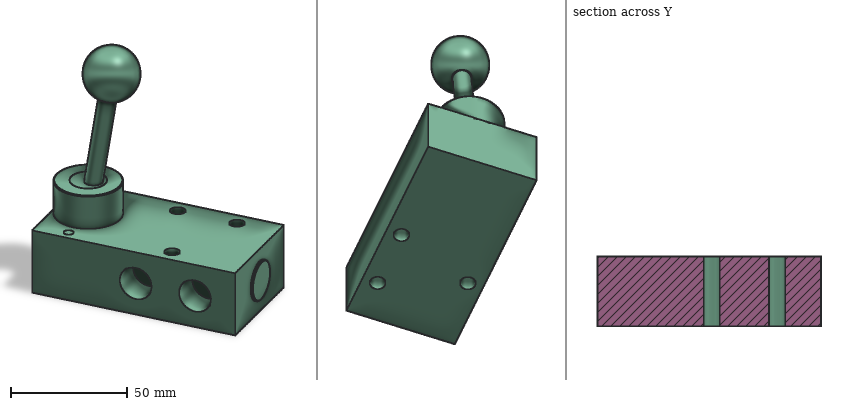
import cadquery as cq
import math

overall_length = 97.0
overall_height = 112.2

body_length = 96.0
body_width = 50.0
body_height = 30.1
mid_y = body_width / 2

housing_radius = 15.0
housing_height = 15.9
housing_chamfer = 0.5
housing_x = housing_radius
housing_top = body_height + housing_height
recess_radius = 8.1
recess_depth = 0.1

lever_tilt = 9.0
lever_radius = 4.0
knob_radius = 12.6
knob_center_z = overall_height - knob_radius
pivot_z = body_height
lever_length = (knob_center_z - pivot_z) / math.cos(math.radians(lever_tilt))
knob_flat_distance = 11.8

port_radius = 7.5
port_depth = 13.5
port_xs = (49.0, 77.0)
port_z = body_height / 2
mount_radius = 3.4
mount_edge_offset = 7.0
mount_middle_x = sum(port_xs) / 2
pin_radius = 2.1
pin_depth = 0.1
pin_offset_y = 20.1

plug_radius = 9.2
plug_height = overall_length - body_length
plug_chamfer = 0.5


def vertical_cylinder(x, y, z, radius, height):
    return cq.Workplane("XY", origin=(x, y, z)).circle(radius).extrude(height)


def make_body():
    body = cq.Workplane("XY").box(body_length, body_width, body_height, centered=False)
    back_y = body_width - mount_edge_offset
    mounts = [(x, back_y) for x in port_xs] + [(mount_middle_x, mount_edge_offset)]
    for x, y in mounts:
        body = body.cut(vertical_cylinder(x, y, 0, mount_radius, body_height))
    for side in (-1, 1):
        y = mid_y + side * pin_offset_y
        body = body.cut(vertical_cylinder(housing_x, y, body_height - pin_depth, pin_radius, pin_depth))
    for x in port_xs:
        port = cq.Workplane("XZ", origin=(x, 0, port_z)).circle(port_radius).extrude(-port_depth)
        body = body.cut(port)
    return body


def make_housing():
    housing = vertical_cylinder(housing_x, mid_y, body_height, housing_radius, housing_height)
    housing = housing.faces(">Z").chamfer(housing_chamfer)
    recess = vertical_cylinder(housing_x, mid_y, housing_top - recess_depth, recess_radius, recess_depth)
    return housing.cut(recess)


def make_lever():
    """Build the lever upright on its pivot, then tilt it toward +X."""
    rod = cq.Workplane("XY").circle(lever_radius).extrude(lever_length)
    knob = cq.Workplane("XY").sphere(knob_radius)
    keep = vertical_cylinder(0, 0, -knob_flat_distance, knob_radius, knob_flat_distance + knob_radius)
    knob = knob.intersect(keep).translate((0, 0, lever_length))
    lever = rod.union(knob).rotate((0, 0, 0), (0, 1, 0), lever_tilt)
    return lever.translate((housing_x, mid_y, pivot_z))


def make_plug():
    plug = cq.Workplane("YZ", origin=(body_length, mid_y, port_z)).circle(plug_radius).extrude(plug_height)
    return plug.faces(">X").chamfer(plug_chamfer)


result = make_body().union(make_housing()).union(make_lever()).union(make_plug())